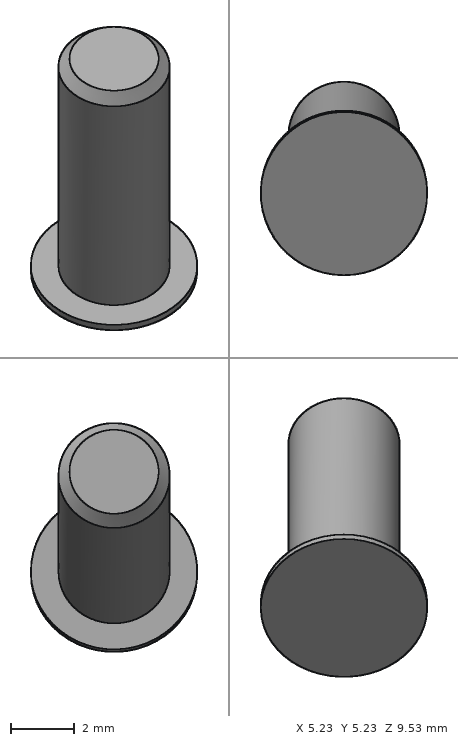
import cadquery as cq

overall_height = 9.53
flange_diameter = 5.23
flange_thickness = 0.25
shank_diameter = 3.5
tip_chamfer = 0.35

shank_length = overall_height - flange_thickness


def make_flange():
    """Thin round flange resting on the XY plane."""
    return cq.Workplane("XY").circle(flange_diameter / 2).extrude(flange_thickness)


def make_shank():
    """Cylindrical shank standing on the flange, chamfered at its free end."""
    return (
        cq.Workplane("XY")
        .workplane(offset=flange_thickness)
        .circle(shank_diameter / 2)
        .extrude(shank_length)
        .faces(">Z")
        .chamfer(tip_chamfer)
    )


result = make_flange().union(make_shank())